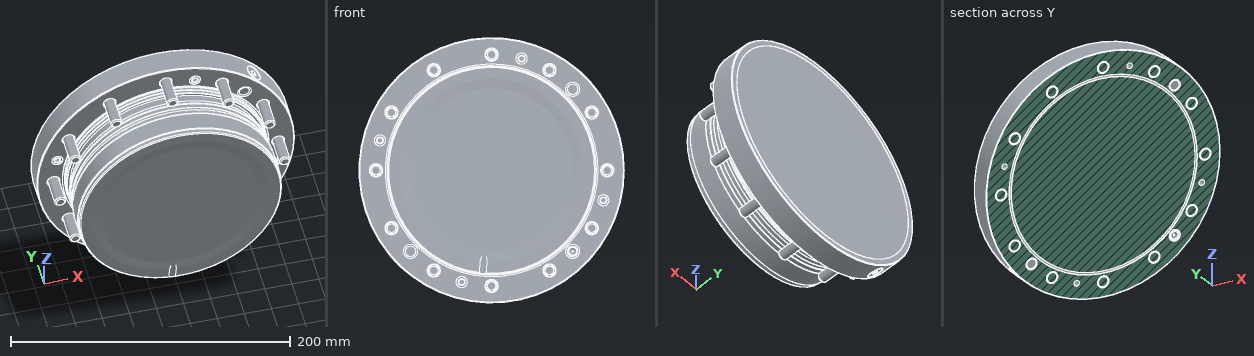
import cadquery as cq
import math


overshoot = 1.9

total_depth = 64.0
rear_land_radius = 89.9
rear_land_depth = 0.2
flange_radius = 95.0
flange_front = 19.2
flange_chamfer = 0.5
recess_radius = 76.2
recess_floor = 18.6
collar_radius = 74.7
collar_step_radius = 74.1
collar_step_start = 20.9
collar_front = 23.8
edge_chamfer = 0.4
neck_radius = 71.8
neck_front = 31.4
shoulder_radius = 74.3
shoulder_front = 34.4
band_radius = 74.0
band_front = 37.8
throat_radius = 73.5
throat_front = 40.8
drum_radius = 75.0
drum_start = 44.6
drum_front = 59.7
nose_radius = 74.5
nose_chamfer = 0.8

dish_rim_radius = 65.5
dish_floor_radius = 58.5
dish_depth = 0.5
notch_width = 5.0
notch_angle = 265.0

screw_count = 12
screw_circle_radius = 82.8
screw_diameter = 8.0
screw_end = 40.3
screw_chamfer = 1.0
clearance_diameter = 8.5
clearance_depth = 7.6
clearance_mouth_diameter = 9.5

seal_angles = (75, 165, 255, 345)
seal_outer_diameter = 8.0
seal_inner_diameter = 5.0
seal_height = 1.0
seal_hole_diameter = 4.0
seal_hole_depth = 7.6

plug_circle_radius = 82.0
flat_plug_angles = (45, 225)
hollow_plug_angle = 315
seat_mouth_diameter = 10.0
plug_diameter = 7.5
plug_face_depth = 0.5
hollow_mouth_diameter = 5.7
hollow_tip_diameter = 1.0
hollow_depth = 1.0

rim_plug_angles = (45, 225)
rim_plug_depth = 11.0
rim_seat_diameter = 12.5
rim_plug_inset = 0.5
rim_socket_flats = 4.0
rim_socket_depth = 2.8


def place(shape, radius, angle, depth):
    """Put a shape built along +Z with its base at the origin so that it points along -Y."""
    turned = shape.rotate((0, 0, 0), (1, 0, 0), 90)
    x = radius * math.cos(math.radians(angle))
    z = radius * math.sin(math.radians(angle))
    return turned.translate((x, -depth, z))


def spin(shape, angle):
    """Turn a shape about the Y axis, from +X toward +Z."""
    return shape.rotate((0, 0, 0), (0, 1, 0), -angle)


def cylinder(diameter, height):
    return cq.Workplane("XY").circle(diameter / 2).extrude(height)


def cone(base_diameter, top_diameter, height):
    return cq.Workplane(cq.Solid.makeCone(base_diameter / 2, top_diameter / 2, height))


def turned_body():
    """Flange, collar, neck, shoulder, drum and nose as one revolved outline."""
    points = [
        (0, 0),
        (rear_land_radius, 0),
        (rear_land_radius, rear_land_depth),
        (flange_radius - flange_chamfer, rear_land_depth),
        (flange_radius, rear_land_depth + flange_chamfer),
        (flange_radius, flange_front - flange_chamfer),
        (flange_radius - flange_chamfer, flange_front),
        (recess_radius, flange_front),
        (recess_radius, recess_floor),
        (collar_radius, recess_floor),
        (collar_radius, collar_step_start),
        (collar_step_radius, collar_step_start),
        (collar_step_radius, collar_front - edge_chamfer),
        (collar_step_radius - edge_chamfer, collar_front),
        (neck_radius, collar_front),
        (neck_radius, neck_front),
        (shoulder_radius - edge_chamfer, neck_front),
        (shoulder_radius, neck_front + edge_chamfer),
        (shoulder_radius, shoulder_front - edge_chamfer),
        (band_radius, shoulder_front),
        (band_radius, band_front),
        (throat_radius, band_front),
        (throat_radius, throat_front),
        (nose_radius, throat_front),
        (nose_radius, drum_start),
        (drum_radius, drum_start),
        (drum_radius, drum_front),
        (nose_radius, drum_front + edge_chamfer),
        (nose_radius, total_depth - nose_chamfer),
        (nose_radius - nose_chamfer, total_depth),
        (0, total_depth),
    ]
    outline = [(radius, -depth) for radius, depth in points]
    return cq.Workplane("XY").polyline(outline).close().revolve(360, (0, 0), (0, 1))


def dish_with_pointer():
    """Shallow cone-sided dish and a round-bottomed radial notch of the same depth."""
    dish = cone(2 * dish_floor_radius, 2 * dish_rim_radius, dish_depth)
    dish = place(dish, 0, 0, total_depth - dish_depth)
    notch_radius = (notch_width**2 / 4 + dish_depth**2) / (2 * dish_depth)
    notch = cq.Workplane("YZ").circle(notch_radius).extrude(drum_radius + overshoot)
    notch = notch.translate((0, dish_depth - notch_radius - total_depth, 0))
    return spin(dish.union(notch), notch_angle)


def screw_clearance():
    mouth_depth = (clearance_mouth_diameter - clearance_diameter) / 2
    bore = cylinder(clearance_diameter, clearance_depth)
    mouth = cone(clearance_diameter, clearance_mouth_diameter, mouth_depth)
    return bore.union(mouth.translate((0, 0, clearance_depth - mouth_depth)))


def screw():
    length = screw_end - flange_front + clearance_depth
    return cylinder(screw_diameter, length).faces(">Z").chamfer(screw_chamfer)


def seal_ring():
    """Torus sunk in the flange so that it stands proud by the seal height."""
    section_radius = (seal_outer_diameter - seal_inner_diameter) / 4
    ring_radius = (seal_outer_diameter + seal_inner_diameter) / 4
    torus = cq.Workplane(cq.Solid.makeTorus(ring_radius, section_radius))
    return torus.translate((0, 0, seal_height - section_radius))


def plug_seat():
    return cone(plug_diameter, seat_mouth_diameter, plug_face_depth)


def plug_hollow():
    return cone(hollow_tip_diameter, hollow_mouth_diameter, hollow_depth)


def rim_plug_recess():
    """Flat-bottomed seat with a hexagon socket, cut along +X into the flange rim."""
    seat_floor = flange_radius - rim_plug_inset
    seat = cq.Workplane("YZ").circle(rim_seat_diameter / 2).extrude(overshoot)
    socket_corners = rim_socket_flats / math.cos(math.pi / 6)
    socket = cq.Workplane("YZ").polygon(6, socket_corners)
    socket = socket.extrude(rim_socket_depth + overshoot).translate((-rim_socket_depth, 0, 0))
    return seat.union(socket).translate((seat_floor, -rim_plug_depth, 0))


result = turned_body()
result = result.cut(dish_with_pointer())

root = flange_front - clearance_depth
for index in range(screw_count):
    angle = index * 360 / screw_count
    result = result.cut(place(screw_clearance(), screw_circle_radius, angle, root))
    result = result.union(place(screw(), screw_circle_radius, angle, root))

for angle in seal_angles:
    hole = cylinder(seal_hole_diameter, seal_hole_depth)
    result = result.cut(place(hole, screw_circle_radius, angle, flange_front - seal_hole_depth))
    result = result.union(place(seal_ring(), screw_circle_radius, angle, flange_front))

for angle in (*flat_plug_angles, hollow_plug_angle):
    result = result.cut(place(plug_seat(), plug_circle_radius, angle, flange_front - plug_face_depth))
hollow_floor = flange_front - plug_face_depth - hollow_depth
result = result.cut(place(plug_hollow(), plug_circle_radius, hollow_plug_angle, hollow_floor))

for angle in rim_plug_angles:
    result = result.cut(spin(rim_plug_recess(), angle))